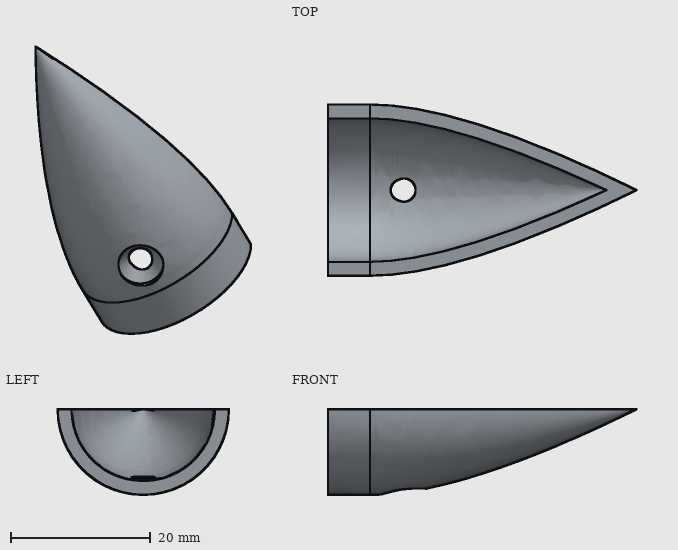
import cadquery as cq
import math

outer_radius = 12.29
wall = 2.0
inner_radius = outer_radius - wall
collar_length = 6.0
total_length = 44.24

nose_length = total_length - collar_length
cavity_length = 33.9
straight_share = 0.35

hole_x = 10.9
hole_diameter = 3.3
head_diameter = 6.6
head_angle = 90
head_z = -11.55

HALF_TURN = 180
FULL_TURN = 360


def lower_half_turn(profile):
    """Sweep a profile from the -Y side of the XY plane through -Z to the +Y side."""
    return profile.revolve(HALF_TURN, (0, 0, 0), (1, 0, 0))


def half_ogive(radius, length):
    """Solid half ogive that starts at the end of the collar."""
    start = (collar_length, -radius)
    tangent_end = (collar_length + straight_share * length, -radius)
    tip = (collar_length + length, 0)
    profile = (
        cq.Workplane("XY")
        .moveTo(collar_length, 0)
        .lineTo(*start)
        .bezier([start, tangent_end, tip])
        .close()
    )
    return lower_half_turn(profile)


def make_screw_cutter():
    """Screw hole, cone and head recess, reaching from the XY plane past the outer wall."""
    hole_radius = hole_diameter / 2
    head_radius = head_diameter / 2
    cone_height = (head_radius - hole_radius) / math.tan(math.radians(head_angle / 2))
    profile = (
        cq.Workplane("XZ")
        .polyline([
            (0, 0),
            (hole_radius, 0),
            (hole_radius, head_z + cone_height),
            (head_radius, head_z),
            (head_radius, -outer_radius),
            (0, -outer_radius),
        ])
        .close()
    )
    cutter = profile.revolve(FULL_TURN, (0, 0, 0), (0, 1, 0))
    return cutter.translate((hole_x, 0, 0))


def make_collar():
    """Half ring at the open end."""
    section = cq.Workplane("XY").moveTo(0, -outer_radius).rect(collar_length, wall, centered=False)
    return lower_half_turn(section)


def make_nose():
    """Hollow half ogive with the countersunk hole through its lowest wall."""
    shell = half_ogive(outer_radius, nose_length).cut(half_ogive(inner_radius, cavity_length))
    return shell.cut(make_screw_cutter())


collar = make_collar()
nose = make_nose()

result = cq.Compound.makeCompound([collar.val(), nose.solids().val()])